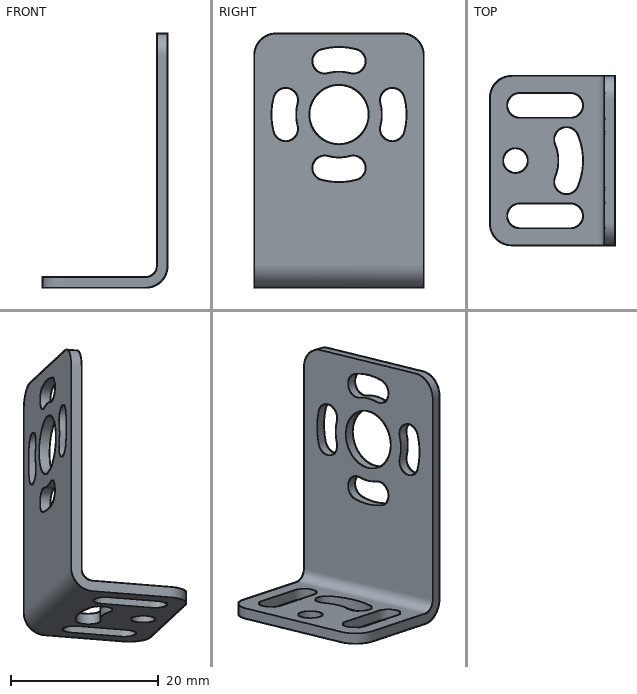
import cadquery as cq
import math

depth = 17.0
width = 23.0
height = 34.5
thickness = 1.5
outer_bend_radius = 3.0
inner_bend_radius = outer_bend_radius - thickness
corner_radius = 3.0

slot_width = 3.3
arc_slot_radius = 7.5
pivot_x = 3.5
base_arc_half_angle = 22.5
straight_slot_length = 10.25
straight_slot_start = 2.38
straight_slot_offset = 7.5
bore_diameter = 8.0
bore_height = 23.5
plate_arc_half_angle = 15.0


def curved_slot(plane, half_angle, direction, cut_depth):
    """Solid with round ends following an arc about the plane origin, centered on direction."""

    def point(radius, angle):
        a = math.radians(direction + angle)
        return (radius * math.cos(a), radius * math.sin(a))

    inner = arc_slot_radius - slot_width / 2
    outer = arc_slot_radius + slot_width / 2
    tip_angle = half_angle + math.degrees(math.atan(slot_width / 2 / arc_slot_radius))
    tip_radius = math.hypot(arc_slot_radius, slot_width / 2)
    return (
        cq.Workplane(plane)
        .moveTo(*point(inner, -half_angle))
        .threePointArc(point(inner, 0), point(inner, half_angle))
        .threePointArc(point(tip_radius, tip_angle), point(outer, half_angle))
        .threePointArc(point(outer, 0), point(outer, -half_angle))
        .threePointArc(point(tip_radius, -tip_angle), point(inner, -half_angle))
        .close()
        .extrude(cut_depth)
    )


bracket = (
    cq.Workplane("XZ")
    .polyline([
        (0, 0),
        (depth, 0),
        (depth, height),
        (depth - thickness, height),
        (depth - thickness, thickness),
        (0, thickness),
    ])
    .close()
    .extrude(width / 2, both=True)
)
bracket = bracket.edges("|Y and >X and <Z").fillet(outer_bend_radius)
inner_bend_edge = cq.selectors.NearestToPointSelector((depth - thickness, 0, thickness))
bracket = bracket.edges(inner_bend_edge).fillet(inner_bend_radius)

bracket = bracket.edges("|Z and <X").fillet(corner_radius)
bracket = bracket.faces(">Z").edges("|X").fillet(corner_radius)

pivot_plane = cq.Plane(origin=(pivot_x, 0, 0), xDir=(1, 0, 0), normal=(0, 0, 1))
bracket = bracket.cut(cq.Workplane(pivot_plane).circle(slot_width / 2).extrude(thickness))
bracket = bracket.cut(curved_slot(pivot_plane, base_arc_half_angle, 0, thickness))
straight_slot_center = straight_slot_start + straight_slot_length / 2
straight_slots = (
    cq.Workplane("XY")
    .pushPoints([(straight_slot_center, side * straight_slot_offset) for side in (-1, 1)])
    .slot2D(straight_slot_length, slot_width)
    .extrude(thickness)
)
bracket = bracket.cut(straight_slots)

bore_plane = cq.Plane(origin=(depth - thickness, 0, bore_height), xDir=(0, 1, 0), normal=(1, 0, 0))
bracket = bracket.cut(cq.Workplane(bore_plane).circle(bore_diameter / 2).extrude(thickness))
for direction in (0, 90, 180, 270):
    bracket = bracket.cut(curved_slot(bore_plane, plate_arc_half_angle, direction, thickness))

result = bracket